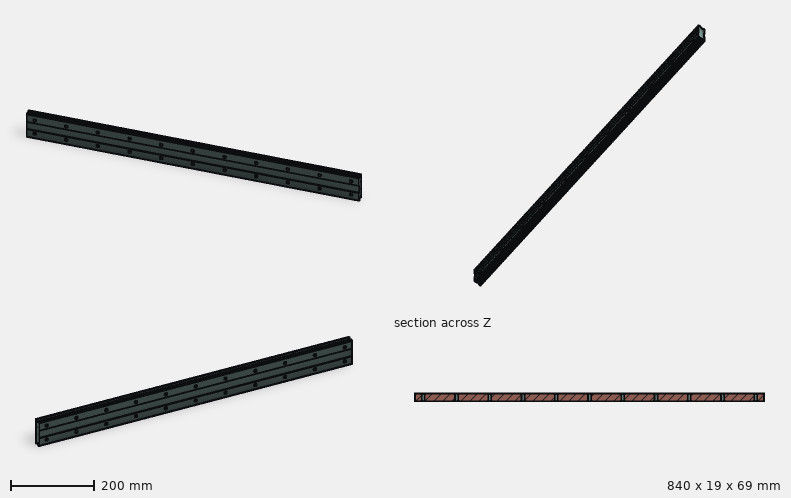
import cadquery as cq
import math

LENGTH = 840.0
THICKNESS = 19.0
HEIGHT = 69.0
BASE_Y = -THICKNESS / 2
HEAD_Y = THICKNESS / 2
TOP_Z = HEIGHT / 2

GROOVE_DEPTH = 4.0
BASE_LIP = 4.2
BASE_FLANK_ANGLE = 60.0
BASE_CHAMFER = 1.0
HEAD_THICKNESS = 5.2
HEAD_CHAMFER = 2.5

RACEWAY_RADIUS = 2.6
RACEWAY_WIDTH = 3.0

RELIEF_WIDTH = 22.0
RELIEF_DEPTH = 1.0
RELIEF_BEVEL = 1.0

HOLE_DIAMETER = 7.0
HOLE_COUNT = 11
HOLE_PITCH = 80.0
ROW_SPACING = 40.0


def bar(section):
    """Extrude a closed YZ section over the full length of the rail."""
    return section.extrude(LENGTH / 2, both=True)


def rail_blank():
    """The rail with its side grooves and chamfered long edges."""
    floor_z = TOP_Z - GROOVE_DEPTH
    flank_run = GROOVE_DEPTH / math.tan(math.radians(BASE_FLANK_ANGLE))
    lip_y = BASE_Y + BASE_LIP
    head_inner_y = HEAD_Y - HEAD_THICKNESS
    upper = [
        (BASE_Y, TOP_Z - BASE_CHAMFER),
        (BASE_Y + BASE_CHAMFER, TOP_Z),
        (lip_y, TOP_Z),
        (lip_y + flank_run, floor_z),
        (head_inner_y - GROOVE_DEPTH, floor_z),
        (head_inner_y, TOP_Z),
        (HEAD_Y - HEAD_CHAMFER, TOP_Z),
        (HEAD_Y, TOP_Z - HEAD_CHAMFER),
    ]
    lower = [(y, -z) for y, z in reversed(upper)]
    return bar(cq.Workplane("YZ").polyline(upper + lower).close())


def raceways():
    """Four round cutters, two per side, each centred just outside a 45 degree head face."""
    stand_off = math.sqrt(RACEWAY_RADIUS**2 - (RACEWAY_WIDTH / 2) ** 2)
    shift = stand_off / math.sqrt(2)
    middle = HEAD_CHAMFER / 2
    outer_y = HEAD_Y - middle + shift
    inner_y = HEAD_Y - HEAD_THICKNESS - middle - shift
    centre_z = TOP_Z - middle + shift
    centres = [(y, side * centre_z) for y in (outer_y, inner_y) for side in (1, -1)]
    return bar(cq.Workplane("YZ").pushPoints(centres).circle(RACEWAY_RADIUS))


def relief(face_y, inward):
    """Bevelled shallow channel along the middle of the face at face_y."""
    half_width = RELIEF_WIDTH / 2
    floor_y = face_y + inward * RELIEF_DEPTH
    corners = [
        (face_y, -half_width),
        (face_y, half_width),
        (floor_y, half_width - RELIEF_BEVEL),
        (floor_y, RELIEF_BEVEL - half_width),
    ]
    return bar(cq.Workplane("YZ").polyline(corners).close())


def mounting_holes():
    """Through holes along Y, in two rows centred on the rail."""
    return (
        cq.Workplane("XZ", origin=(0, HEAD_Y, 0))
        .rarray(HOLE_PITCH, ROW_SPACING, HOLE_COUNT, 2)
        .circle(HOLE_DIAMETER / 2)
        .extrude(THICKNESS)
    )


result = (
    rail_blank()
    .cut(raceways())
    .cut(relief(BASE_Y, 1))
    .cut(relief(HEAD_Y, -1))
    .cut(mounting_holes())
)